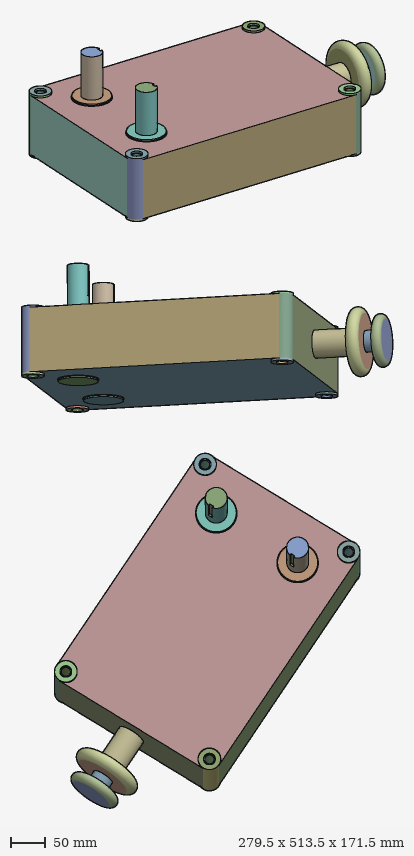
import cadquery as cq
width = 279.5
length = 406.5
height = 101.5
corner_radius = 16.5
face_recess = 3.0

foot_size = 1.0

hole_diameter = 13.5
counterbore_diameter = 17.0
counterbore_depth = face_recess

post_diameter = 32.0
post_height = 70.0
post_offset_x = 70.0
post_edge_distance = 70.0
pad_diameter = 58.0

keyway_width = 6.0
keyway_depth = 3.0
keyway_length = 45.5

overall_length = 513.5
stem_diameter = 41.0
stem_length = 56.0
collar_diameter = height
collar_thickness = 20.0
neck_diameter = 32.0
neck_length = 15.5
knob_diameter = 78.0
knob_thickness = overall_length - length - stem_length - collar_thickness - neck_length

core_height = height - 2 * face_recess
boss_x = width / 2 - corner_radius
boss_y = length / 2 - corner_radius
boss_points = [(sx * boss_x, sy * boss_y) for sx in (-1, 1) for sy in (-1, 1)]
post_y = post_edge_distance - length / 2
post_points = [(-post_offset_x, post_y), (post_offset_x, post_y)]


def upright_cylinders(points, diameter, bottom, tall):
    """Vertical cylinders standing on the plane z = bottom."""
    return cq.Workplane("XY", origin=(0, 0, bottom)).pushPoints(points).circle(diameter / 2).extrude(tall)


def make_feet(points, diameter):
    """Sloped feet around upright cylinders, on the upper and the lower face of the core."""
    foot = cq.Solid.makeCone(diameter / 2 + foot_size, diameter / 2, foot_size)
    base = cq.Workplane("XY", origin=(0, 0, core_height / 2))
    feet = base.pushPoints(points).eachpoint(lambda place: foot.moved(place))
    return feet.union(feet.mirror("XY"))


def make_housing():
    """Rounded block with recessed flat faces, corner bosses and raised pads on both faces."""
    core = cq.Workplane("XY").box(width, length, core_height).edges("|Z").fillet(corner_radius)
    bosses = upright_cylinders(boss_points, 2 * corner_radius, -height / 2, height)
    pads = upright_cylinders(post_points, pad_diameter, -height / 2, height)
    pads = pads.union(make_feet(post_points, pad_diameter))
    return core.union(bosses).union(pads)


def make_corner_holes():
    """Through holes with a shallow counterbore at both ends."""
    bores = upright_cylinders(boss_points, hole_diameter, -height / 2, height)
    for bottom in (-height / 2, height / 2 - counterbore_depth):
        bores = bores.union(upright_cylinders(boss_points, counterbore_diameter, bottom, counterbore_depth))
    return bores


def make_handle():
    """Stem, collar, neck and knob turned about the Y axis; collar and knob have fully round rims."""
    stem_start = length / 2 - corner_radius
    collar_start = length / 2 + stem_length
    collar_end = collar_start + collar_thickness
    knob_start = collar_end + neck_length
    knob_end = knob_start + knob_thickness
    collar_flat = (collar_diameter - collar_thickness) / 2
    knob_flat = (knob_diameter - knob_thickness) / 2
    profile = (
        cq.Workplane("XY")
        .moveTo(0, stem_start)
        .lineTo(stem_diameter / 2, stem_start)
        .lineTo(stem_diameter / 2, collar_start)
        .lineTo(collar_flat, collar_start)
        .threePointArc((collar_diameter / 2, (collar_start + collar_end) / 2), (collar_flat, collar_end))
        .lineTo(neck_diameter / 2, collar_end)
        .lineTo(neck_diameter / 2, knob_start)
        .lineTo(knob_flat, knob_start)
        .threePointArc((knob_diameter / 2, (knob_start + knob_end) / 2), (knob_flat, knob_end))
        .lineTo(0, knob_end)
        .close()
    )
    return profile.revolve(360, (0, 0, 0), (0, 1, 0))


def make_posts():
    """Plain round posts with a keyway running down from the top."""
    posts = upright_cylinders(post_points, post_diameter, height / 2, post_height)
    post_top = height / 2 + post_height
    keyway_floor = post_diameter / 2 - keyway_depth
    keyway_points = [(x, y + keyway_floor + keyway_depth) for x, y in post_points]
    keyways = (
        cq.Workplane("XY", origin=(0, 0, post_top))
        .pushPoints(keyway_points)
        .rect(keyway_width, 2 * keyway_depth)
        .extrude(-keyway_length)
    )
    return posts.cut(keyways)


result = make_housing().union(make_posts()).union(make_handle()).cut(make_corner_holes())